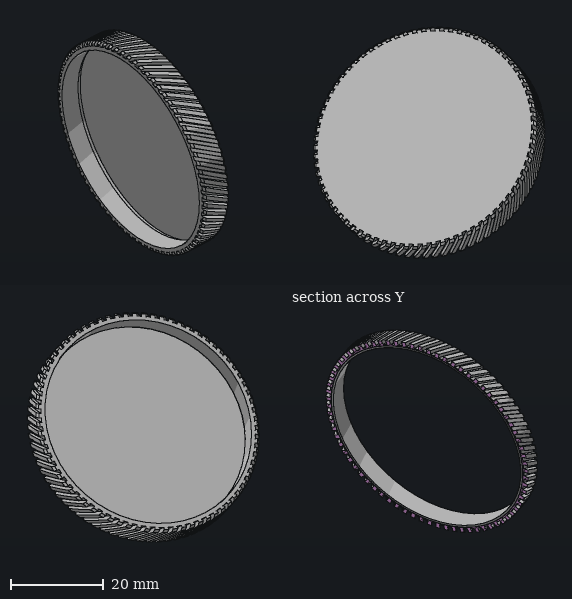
import cadquery as cq
import math

OUTER_RADIUS = 25.4
CAP_HEIGHT = 7.0
RIM_CHAMFER = 0.5

RECESS_RADIUS = 23.45
FLOOR_THICKNESS = 1.5
RELIEF_DEPTH = 0.5
RELIEF_HEIGHT = 1.0

GROOVE_COUNT = 75
GROOVE_DEPTH = 1.0
GROOVE_WIDTH = 1.0
GROOVE_TWIST = 10.0
RIM_GROOVE_ANGLE = 3.7
TRIM_ALLOWANCE = 0.5


def cylinder(radius, start, height):
    """Cylinder along the axis, rising towards -Y from `start` above the closed face."""
    return cq.Workplane("XZ", origin=(0, -start, 0)).circle(radius).extrude(height)


def polar(radius, angle):
    """Point at a radius and an angle in radians, measured from +X towards +Z."""
    return (radius * math.cos(angle), radius * math.sin(angle))


def grooved_blank():
    """Oversize cylinder with square-bottomed grooves that wind around the axis."""
    tip_radius = OUTER_RADIUS + TRIM_ALLOWANCE
    root_radius = OUTER_RADIUS - GROOVE_DEPTH
    pitch = 2 * math.pi / GROOVE_COUNT
    half_groove = GROOVE_WIDTH / (2 * OUTER_RADIUS)
    first = math.radians(RIM_GROOVE_ANGLE - GROOVE_TWIST)

    outline = cq.Workplane("XZ").moveTo(*polar(tip_radius, first - half_groove))
    for index in range(GROOVE_COUNT):
        centre = first + index * pitch
        next_centre = centre + pitch
        outline = (
            outline.lineTo(*polar(root_radius, centre - half_groove))
            .threePointArc(polar(root_radius, centre), polar(root_radius, centre + half_groove))
            .lineTo(*polar(tip_radius, centre + half_groove))
            .threePointArc(
                polar(tip_radius, centre + pitch / 2),
                polar(tip_radius, next_centre - half_groove),
            )
        )
    return outline.close().twistExtrude(CAP_HEIGHT, GROOVE_TWIST)


envelope = cylinder(OUTER_RADIUS, 0, CAP_HEIGHT).edges().chamfer(RIM_CHAMFER)
recess = cylinder(RECESS_RADIUS, FLOOR_THICKNESS, CAP_HEIGHT - FLOOR_THICKNESS)
relief = cylinder(RECESS_RADIUS + RELIEF_DEPTH, FLOOR_THICKNESS, RELIEF_HEIGHT)
smooth_cap = envelope.cut(recess).cut(relief)

result = smooth_cap.intersect(grooved_blank(), clean=False)